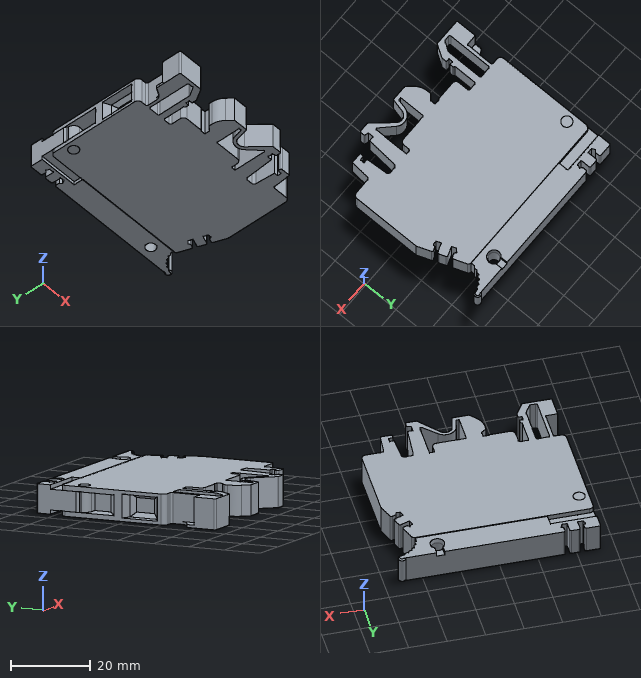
import cadquery as cq
import math


LENGTH = 52.5
HEIGHT = 51.0
THICKNESS = 8.0
MID_Z = THICKNESS / 2
LEVER_THICKNESS = 7.55
CAVITY_WIDTH = 5.3

FINE_RADIUS = 0.2
EDGE_RADIUS = 0.4
ROOT_RADIUS = 0.5

HOUSING_RIGHT = 52.05
HOUSING_TOP = 43.65
BELLY_Y = 9.6
CORNER_RADIUS = 1.2
SLOPE_START_Y = 30.2
SLOPE_ANGLE = 20.0
SLOPE_RADIUS = 0.8
SLOPE_MARKER_Y = 36.8

TONGUE_HALF = 1.35
SLOT_OUTER = 2.5
SLOT_DEPTH = 2.95
NOTCH_START_DEPTH = 1.45
NOTCH_DEPTH = 1.95
NOTCH_HALF = 3.15
NOTCH_FLOOR_HALF = 2.75
MARKER_RADIUS = 0.4

FOOT_WAIST_X = 3.15
FOOT_ROOT_Y = 14.1
FOOT_ROOT_RADIUS = 1.3
RAIL_LEDGE_Y = 6.05
FOOT_TOE_X = 10.0
FOOT_TOE_LOW_Y = 3.4
FOOT_NOTCH_X = 9.0
FOOT_NOTCH_Y = 4.9
FOOT_TOE_TOP_Y = 7.05
FOOT_BAR_LOW_Y = 7.4
FOOT_BAR_X = 9.55
FOOT_SOLE_RIGHT = 7.8
SHOULDER_X = 12.15
FOOT_WINDOW_LEFT = 4.1
FOOT_WINDOW_RIGHT = 7.6
FOOT_WINDOW_FLOOR = 1.0
FOOT_WINDOW_FLOOR_RIGHT = 6.0
FOOT_WINDOW_BEND_Y = 3.55
FOOT_WINDOW_BEND_RADIUS = 1.05
FLANGE_THICKNESS = 0.8
FLANGE_EDGE_Y = 8.05
FLANGE_CORNER_Y = 9.75
FLANGE_RADIUS = 1.7
FLANGE_CUT_TOP = 11.55

CLAW_RECESS_X = 18.8
CLAW_RECESS_Y = 9.8
CLAW_NECK_X = 20.3
CLAW_NECK_Y = 8.3
CLAW_TIP_X = 18.9
CLAW_TIP_Y = 7.25
CLAW_TIP_RADIUS = 0.35
CLAW_BEND_Y = 4.25
CLAW_BEND_RADIUS = 5.25
CLAW_SOLE_Y = 1.0
CLAW_SOLE_LEFT = 21.7
CLAW_SOLE_RIGHT = 26.2

INNER_APEX_X = 27.95
INNER_APEX_Y = 8.2
INNER_APEX_RADIUS = 1.9
OUTER_APEX_X = 27.25
OUTER_APEX_Y = 10.0
OUTER_APEX_RADIUS = 3.05
SPRING_WINDOW_LEFT = 24.6
SPRING_WINDOW_FLOOR = 2.15
SPRING_WINDOW_FLOOR_RIGHT = 25.4
SPRING_WINDOW_STEP_X = 33.65
SPRING_WINDOW_RIGHT = 35.0
SPRING_WINDOW_HEEL_X = 34.6
SPRING_WINDOW_HEEL_Y = 2.7

LEG_SOLE_LEFT = 35.1
LEG_TOE_X = 38.1
LEG_TOE_Y = 1.5
LEG_NOTCH_X = 36.95
LEG_NOTCH_LOW_Y = 1.9
LEG_NOTCH_TOP_Y = 3.4
LEG_LOW_X = 38.3
LEG_ROOT_X = 39.1
LEG_ROOT_Y = 12.75
LEG_ROOT_RADIUS = 0.75

CATCH_ROOT_X = 42.05
CATCH_LOW_X = 42.4
CATCH_NOTCH_X = 43.65
CATCH_NOTCH_Y = 4.95
CATCH_TOE_X = 42.35
CATCH_TOE_Y = 4.8
CATCH_SOLE_RIGHT = 45.5
CATCH_SHOULDER_X = 46.05
CATCH_SOLE_Y = 3.75

CAVITY_DEPTH = 4.35
CAVITY_LIP_Y = 28.55
CAVITY_SILL_Y = 31.7

ENTRY_Y = 21.35
ENTRY_MOUTH_HALF = 4.95
ENTRY_THROAT_HALF = 3.9
ENTRY_THROAT_DEPTH = 2.25
ENTRY_HEIGHT = 6.1
ENTRY_END_LENGTH = 5.1
ENTRY_END_HEIGHT = 3.75
ENTRY_DEPTH = 3.35

LEVER_TOP = 50.45
LEVER_RADIUS = 0.35
LEVER_MARKER_X = 6.65
PIVOT_X = 2.55
PIVOT_Y = 38.2
PIVOT_RADIUS = 1.5
BARREL_RADIUS = 2.0
ARM_FACE_Y = 39.3
ARM_STEP_X = 0.3
ARM_STEP_Y = 38.55
RELIEF_LENGTH = 12.15
RELIEF_TOP = 46.55

GRIP_X = 52.3
GRIP_Y = 43.45
GRIP_RADIUS = 5.95
SCALLOP_HEIGHT = 0.3
SCALLOP_COUNT = 5
SCALLOP_FIRST_ANGLE = 168.0
SCALLOP_PITCH_ANGLE = 12.4
GRIP_FOOT_X = 46.5
BEAD_RADIUS = 1.0
BEAD_CHAMFER = 0.35
BEAD_X = LENGTH - BEAD_RADIUS
BEAD_Y = HEIGHT - BEAD_RADIUS

TEST_HOLE_X = 41.6
TEST_HOLE_Y = 47.0
TEST_HOLE_RADIUS = 1.5
TEST_SINK_RADIUS = 1.85
TEST_SINK_DEPTH = 1.1
TEST_SLOT_WIDTH = 2.1


def rounded_path(corners):
    """Open path through (x, y, radius) corners, each rounded by a tangent arc when its radius is not 0."""
    sketch = None
    count = len(corners)
    for i, (x, y, radius) in enumerate(corners):
        corner = cq.Vector(x, y)
        if radius == 0:
            stops = [corner]
        else:
            before = (cq.Vector(*corners[i - 1][:2]) - corner).normalized()
            after = (cq.Vector(*corners[(i + 1) % count][:2]) - corner).normalized()
            half_angle = before.getAngle(after) / 2
            reach = radius / math.tan(half_angle)
            bisector = (before + after).normalized()
            middle = corner + bisector * (radius / math.sin(half_angle) - radius)
            stops = [corner + before * reach, middle, corner + after * reach]
        if sketch is None:
            sketch = cq.Workplane("XY").moveTo(stops[0].x, stops[0].y)
        else:
            sketch = sketch.lineTo(stops[0].x, stops[0].y)
        if radius != 0:
            sketch = sketch.threePointArc(stops[1].toTuple()[:2], stops[2].toTuple()[:2])
    return sketch


def marker_seat(x, y, travel_angle):
    """Corners of a marker seat centred on an edge followed in the travel direction, body on its left."""
    half = [
        (SLOT_OUTER, 0, MARKER_RADIUS),
        (SLOT_OUTER, NOTCH_START_DEPTH, 0),
        (NOTCH_HALF, NOTCH_DEPTH, 0),
        (NOTCH_FLOOR_HALF, SLOT_DEPTH, 0),
        (TONGUE_HALF, SLOT_DEPTH, 0),
        (TONGUE_HALF, 0, MARKER_RADIUS),
    ]
    seat = [(-along, depth, radius) for along, depth, radius in half] + half[::-1]
    cos_travel = math.cos(math.radians(travel_angle))
    sin_travel = math.sin(math.radians(travel_angle))
    return [
        (x + along * cos_travel - depth * sin_travel, y + along * sin_travel + depth * cos_travel, radius)
        for along, depth, radius in seat
    ]


def centred_box(x0, x1, y0, y1, depth):
    """Box between the given X and Y limits, centred on the mid plane of the thickness."""
    return cq.Workplane("XY").box(x1 - x0, y1 - y0, depth).translate(((x0 + x1) / 2, (y0 + y1) / 2, MID_Z))


def slope_x(y):
    """X of the sloping upper right edge of the housing at height y."""
    return HOUSING_RIGHT - (y - SLOPE_START_Y) * math.tan(math.radians(SLOPE_ANGLE))


def housing_outline():
    """Outer corners of the housing, anticlockwise from the left end of the foot flange."""
    release_foot = [
        (0, FLANGE_EDGE_Y, 0),
        (0, 0, EDGE_RADIUS),
        (FOOT_SOLE_RIGHT, 0, FINE_RADIUS),
        (FOOT_TOE_X, FOOT_TOE_LOW_Y, FINE_RADIUS),
        (FOOT_TOE_X, FOOT_NOTCH_Y, FINE_RADIUS),
        (FOOT_NOTCH_X, FOOT_NOTCH_Y, 0),
        (FOOT_NOTCH_X, RAIL_LEDGE_Y, 0),
        (FOOT_TOE_X, RAIL_LEDGE_Y, 0),
        (FOOT_TOE_X, FOOT_TOE_TOP_Y, FINE_RADIUS),
        (FOOT_BAR_X, FOOT_BAR_LOW_Y, 0),
        (FOOT_BAR_X, FOOT_ROOT_Y, EDGE_RADIUS),
        (SHOULDER_X, FOOT_ROOT_Y, ROOT_RADIUS),
        (SHOULDER_X, BELLY_Y, CORNER_RADIUS),
    ]
    claw = [
        (CLAW_RECESS_X, BELLY_Y, 0),
        (CLAW_RECESS_X, CLAW_RECESS_Y, 0),
        (CLAW_NECK_X, CLAW_RECESS_Y, 0),
        (CLAW_NECK_X, CLAW_NECK_Y, 0),
        (CLAW_TIP_X, CLAW_TIP_Y, CLAW_TIP_RADIUS),
        (CLAW_TIP_X, CLAW_BEND_Y, CLAW_BEND_RADIUS),
        (CLAW_SOLE_LEFT, CLAW_SOLE_Y, 0),
        (CLAW_SOLE_RIGHT, CLAW_SOLE_Y, FINE_RADIUS),
    ]
    spring_leg = [
        (INNER_APEX_X, INNER_APEX_Y, INNER_APEX_RADIUS),
        (LEG_SOLE_LEFT, 0, FINE_RADIUS),
        (LEG_TOE_X, 0, EDGE_RADIUS),
        (LEG_TOE_X, LEG_TOE_Y, FINE_RADIUS),
        (LEG_NOTCH_X, LEG_NOTCH_LOW_Y, 0),
        (LEG_NOTCH_X, LEG_NOTCH_TOP_Y, 0),
        (LEG_LOW_X, LEG_NOTCH_TOP_Y, 0),
        (LEG_ROOT_X, LEG_ROOT_Y, LEG_ROOT_RADIUS),
    ]
    catch = [
        (CATCH_ROOT_X, LEG_ROOT_Y, LEG_ROOT_RADIUS),
        (CATCH_LOW_X, RAIL_LEDGE_Y, 0),
        (CATCH_NOTCH_X, RAIL_LEDGE_Y, 0),
        (CATCH_NOTCH_X, CATCH_NOTCH_Y, 0),
        (CATCH_TOE_X, CATCH_TOE_Y, FINE_RADIUS),
        (CATCH_TOE_X, CATCH_SOLE_Y, EDGE_RADIUS),
        (CATCH_SOLE_RIGHT, CATCH_SOLE_Y, FINE_RADIUS),
        (CATCH_SHOULDER_X, BELLY_Y, ROOT_RADIUS),
        (HOUSING_RIGHT, BELLY_Y, CORNER_RADIUS),
    ]
    block = [
        (HOUSING_RIGHT, SLOPE_START_Y, 0),
        *marker_seat(slope_x(SLOPE_MARKER_Y), SLOPE_MARKER_Y, 90 + SLOPE_ANGLE),
        (slope_x(HOUSING_TOP), HOUSING_TOP, SLOPE_RADIUS),
        (0, HOUSING_TOP, CORNER_RADIUS),
        (0, FOOT_ROOT_Y, FOOT_ROOT_RADIUS),
        (FOOT_WAIST_X, FOOT_ROOT_Y, ROOT_RADIUS),
        (FOOT_WAIST_X, FLANGE_CORNER_Y, FLANGE_RADIUS),
    ]
    return release_foot + claw + spring_leg + catch + block


def foot_window():
    """Slot through the release foot that lets it flex."""
    return [
        (FOOT_WINDOW_LEFT, FOOT_WINDOW_FLOOR, EDGE_RADIUS),
        (FOOT_WINDOW_FLOOR_RIGHT, FOOT_WINDOW_FLOOR, FINE_RADIUS),
        (FOOT_WINDOW_RIGHT, FOOT_WINDOW_BEND_Y, FOOT_WINDOW_BEND_RADIUS),
        (FOOT_WINDOW_RIGHT, FOOT_ROOT_Y, EDGE_RADIUS),
        (FOOT_WINDOW_LEFT, FOOT_ROOT_Y, EDGE_RADIUS),
    ]


def spring_window():
    """Opening above the curved spring strip."""
    return [
        (SPRING_WINDOW_LEFT, SPRING_WINDOW_FLOOR, 0),
        (SPRING_WINDOW_FLOOR_RIGHT, SPRING_WINDOW_FLOOR, FINE_RADIUS),
        (OUTER_APEX_X, OUTER_APEX_Y, OUTER_APEX_RADIUS),
        (SPRING_WINDOW_HEEL_X, SPRING_WINDOW_HEEL_Y, FINE_RADIUS),
        (SPRING_WINDOW_RIGHT, SPRING_WINDOW_HEEL_Y, FINE_RADIUS),
        (SPRING_WINDOW_RIGHT, LEG_ROOT_Y, 0),
        (SPRING_WINDOW_STEP_X, LEG_ROOT_Y, EDGE_RADIUS),
        (SPRING_WINDOW_STEP_X, BELLY_Y, CORNER_RADIUS),
        (SPRING_WINDOW_LEFT, BELLY_Y, FINE_RADIUS),
    ]


def lever_cavity():
    """Cavity that takes the lever arm, with a sloping sill at its lower end."""
    side = [
        (0, CAVITY_LIP_Y),
        (CAVITY_DEPTH, CAVITY_SILL_Y),
        (CAVITY_DEPTH, HOUSING_TOP),
        (0, HOUSING_TOP),
    ]
    cavity = cq.Workplane("XY").polyline(side).close().extrude(CAVITY_WIDTH)
    return cavity.translate((0, 0, MID_Z - CAVITY_WIDTH / 2))


def wire_entry():
    """Funnel that narrows along Y, then tapers on all four sides to a flat end."""
    mouth = [
        (0, ENTRY_Y - ENTRY_MOUTH_HALF),
        (ENTRY_THROAT_DEPTH, ENTRY_Y - ENTRY_THROAT_HALF),
        (ENTRY_THROAT_DEPTH, ENTRY_Y + ENTRY_THROAT_HALF),
        (0, ENTRY_Y + ENTRY_MOUTH_HALF),
    ]
    funnel = cq.Workplane("XY").polyline(mouth).close().extrude(ENTRY_HEIGHT)
    funnel = funnel.translate((0, 0, MID_Z - ENTRY_HEIGHT / 2))
    end = (
        cq.Workplane("YZ", origin=(ENTRY_THROAT_DEPTH, ENTRY_Y, MID_Z))
        .rect(2 * ENTRY_THROAT_HALF, ENTRY_HEIGHT)
        .workplane(offset=ENTRY_DEPTH - ENTRY_THROAT_DEPTH)
        .rect(ENTRY_END_LENGTH, ENTRY_END_HEIGHT)
        .loft()
    )
    return funnel.union(end)


def pivot_pin():
    """Pin of the lever, flush with both faces of the housing."""
    return cq.Workplane("XY").center(PIVOT_X, PIVOT_Y).circle(PIVOT_RADIUS).extrude(THICKNESS)


def make_housing():
    body = rounded_path(housing_outline()).close().extrude(THICKNESS)
    for window in (foot_window(), spring_window()):
        body = body.cut(rounded_path(window).close().extrude(THICKNESS))
    above_flange = cq.Workplane("XY").box(
        FOOT_WAIST_X, FLANGE_CUT_TOP - RAIL_LEDGE_Y, THICKNESS - FLANGE_THICKNESS, centered=False
    )
    body = body.cut(above_flange.translate((0, RAIL_LEDGE_Y, FLANGE_THICKNESS)))
    return body.cut(lever_cavity()).cut(wire_entry()).cut(pivot_pin())


def grip_point(angle, radius):
    """Point at an angle in degrees and a radius about the centre of the grip arc."""
    return (
        GRIP_X + radius * math.cos(math.radians(angle)),
        GRIP_Y + radius * math.sin(math.radians(angle)),
    )


def lever_blade():
    """Wide upper part of the lever, with a marker seat in its top and a scalloped grip at its right."""
    body_edge = [
        (BEAD_X, BEAD_Y - BEAD_RADIUS + BEAD_CHAMFER, 0),
        (BEAD_X, LEVER_TOP, 0),
        *marker_seat(LEVER_MARKER_X, LEVER_TOP, 180),
        (0, LEVER_TOP, LEVER_RADIUS),
        (0, HOUSING_TOP, 0),
        (GRIP_FOOT_X, HOUSING_TOP, 0),
        (*grip_point(SCALLOP_FIRST_ANGLE, GRIP_RADIUS), 0),
    ]
    edge = rounded_path(body_edge)
    for i in range(SCALLOP_COUNT):
        angle = SCALLOP_FIRST_ANGLE - i * SCALLOP_PITCH_ANGLE
        crest = grip_point(angle - SCALLOP_PITCH_ANGLE / 2, GRIP_RADIUS - SCALLOP_HEIGHT)
        valley = grip_point(angle - SCALLOP_PITCH_ANGLE, GRIP_RADIUS)
        edge = edge.threePointArc(crest, valley)
    return edge.close().extrude(LEVER_THICKNESS)


def lever_arm():
    """Narrow arm inside the housing cavity, rounded about the pivot."""
    arm = (
        cq.Workplane("XY")
        .moveTo(0, RELIEF_TOP)
        .lineTo(0, ARM_FACE_Y)
        .lineTo(ARM_STEP_X, ARM_STEP_Y)
        .lineTo(PIVOT_X - BARREL_RADIUS, PIVOT_Y)
        .radiusArc((PIVOT_X, PIVOT_Y - BARREL_RADIUS), -BARREL_RADIUS)
        .lineTo(CAVITY_DEPTH, PIVOT_Y - BARREL_RADIUS)
        .lineTo(CAVITY_DEPTH, RELIEF_TOP)
        .close()
        .extrude(CAVITY_WIDTH)
    )
    return arm.translate((0, 0, MID_Z - CAVITY_WIDTH / 2))


def make_lever():
    lever = lever_blade()
    bead = cq.Workplane("XY").center(BEAD_X, BEAD_Y).circle(BEAD_RADIUS).extrude(LEVER_THICKNESS)
    lever = lever.union(bead.faces("|Z").chamfer(BEAD_CHAMFER))
    lever = lever.translate((0, 0, MID_Z - LEVER_THICKNESS / 2))

    relief = centred_box(0, RELIEF_LENGTH, HOUSING_TOP, RELIEF_TOP, THICKNESS)
    relief = relief.cut(centred_box(0, RELIEF_LENGTH, HOUSING_TOP, RELIEF_TOP, CAVITY_WIDTH))
    lever = lever.cut(relief)

    hole_mouth = cq.Vector(TEST_HOLE_X, TEST_HOLE_Y, MID_Z + LEVER_THICKNESS / 2)
    lever_face = cq.Workplane("XY", origin=hole_mouth)
    lever = lever.cut(lever_face.circle(TEST_HOLE_RADIUS).extrude(-LEVER_THICKNESS))
    down = cq.Vector(0, 0, -1)
    sink = cq.Solid.makeCone(TEST_SINK_RADIUS, TEST_HOLE_RADIUS, TEST_SINK_DEPTH, hole_mouth, down)
    lever = lever.cut(cq.Workplane(sink))
    slot_length = LEVER_TOP - TEST_HOLE_Y
    slot = lever_face.center(0, slot_length / 2).rect(TEST_SLOT_WIDTH, slot_length).extrude(-TEST_SINK_DEPTH)
    lever = lever.cut(slot)

    return lever.union(lever_arm()).union(pivot_pin())


housing = make_housing()
lever = make_lever()

result = cq.Compound.makeCompound([housing.val(), lever.val()])